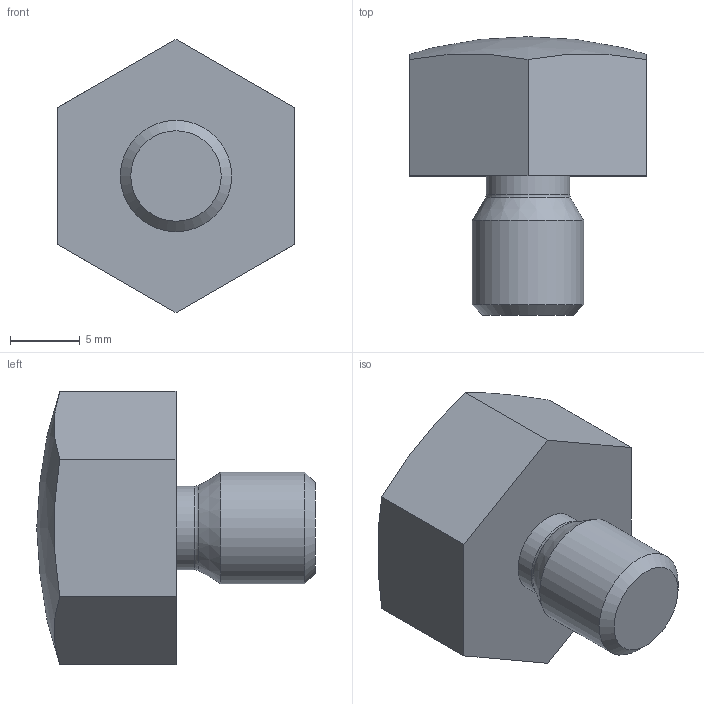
import cadquery as cq
import math

across_flats = 17.0
across_corners = across_flats / math.cos(math.radians(30))
head_height = 10.0
dome_radius = 30.0

stud_length = 10.0
stud_radius = 8.0 / 2
neck_radius = 6.0 / 2
tip_radius = 6.5 / 2
tip_chamfer = stud_radius - tip_radius
neck_shoulder_end = 3.2
shoulder_angle = 30.0
shoulder_length = (stud_radius - neck_radius) / math.tan(math.radians(shoulder_angle))
neck_length = neck_shoulder_end - shoulder_length
neck_fillet = 0.5


def make_head():
    """Hexagonal prism with corners on +Z and -Z, rounded off by a sphere."""
    prism = (
        cq.Workplane("XZ")
        .polygon(6, across_corners)
        .extrude(-head_height)
        .rotate((0, 0, 0), (0, 1, 0), 90)
    )
    dome = cq.Workplane("XY").sphere(dome_radius).translate((0, head_height - dome_radius, 0))
    return prism.intersect(dome)


def make_stud():
    """Turned stud: neck, conical shoulder, full diameter and chamfered tip."""
    half_angle = math.radians(shoulder_angle / 2)
    tangent_length = neck_fillet * math.tan(half_angle)
    slope = math.radians(shoulder_angle)
    blend_start = (neck_radius, tangent_length - neck_length)
    blend_middle = (
        neck_radius + neck_fillet * (1 - math.cos(half_angle)),
        blend_start[1] - neck_fillet * math.sin(half_angle),
    )
    blend_end = (
        neck_radius + tangent_length * math.sin(slope),
        -neck_length - tangent_length * math.cos(slope),
    )
    return (
        cq.Workplane("XY")
        .moveTo(0, 0)
        .lineTo(neck_radius, 0)
        .lineTo(*blend_start)
        .threePointArc(blend_middle, blend_end)
        .lineTo(stud_radius, -neck_shoulder_end)
        .lineTo(stud_radius, tip_chamfer - stud_length)
        .lineTo(tip_radius, -stud_length)
        .lineTo(0, -stud_length)
        .close()
        .revolve(360, (0, 0, 0), (0, 1, 0))
    )


result = make_head().union(make_stud())